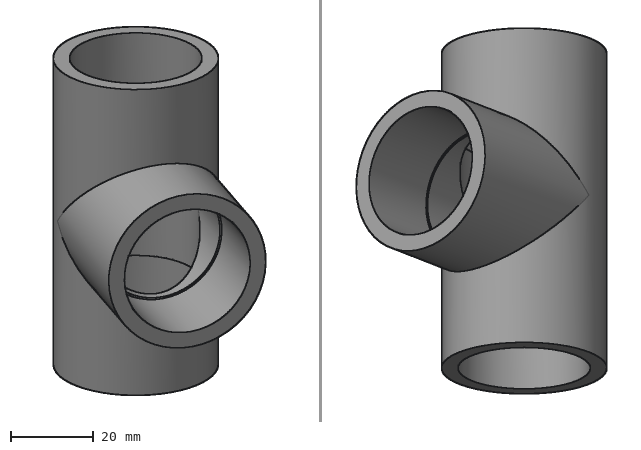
import cadquery as cq

run_length = 80.0
outer_diameter = 40.0
socket_diameter = 32.0
socket_depth = 22.0
bore_diameter = 31.0
reach = run_length / 2


def arm(direction, diameter, start=0.0):
    """Cylinder along one arm, from start to the opening; start is measured from the centre."""
    axis = cq.Vector(*direction)
    return cq.Workplane(
        cq.Solid.makeCylinder(diameter / 2, reach - start, axis * start, axis)
    )


def run_and_branch(diameter):
    """Full-height vertical cylinder joined to the side branch along +X."""
    run = cq.Workplane("XY").circle(diameter / 2).extrude(reach, both=True)
    return run.union(arm(branch_direction, diameter))


branch_direction = (1, 0, 0)
openings = [(0, 0, 1), (0, 0, -1), branch_direction]

result = run_and_branch(outer_diameter).cut(run_and_branch(bore_diameter))
for opening in openings:
    result = result.cut(arm(opening, socket_diameter, reach - socket_depth))